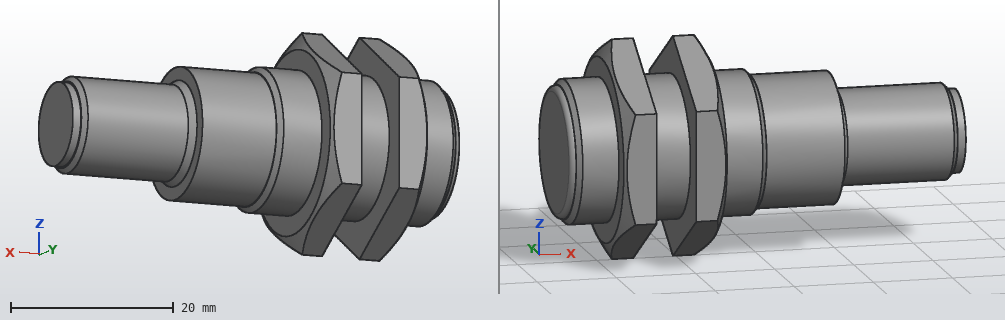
import cadquery as cq
import math

total_length = 50.8

cap_diameter = 16.5
cap_length = 0.75
cap_rounding = 0.7

barrel_diameter = 18.0
barrel_end = 24.85
barrel_chamfer = 0.65

housing_diameter = 16.5
housing_end = 34.75

neck_diameter = 12.0
flare_diameter = 13.15
flare_length = 0.9
neck_chamfer = 0.6
tip_diameter = 10.4
tip_length = 1.05

nut_across_flats = 24.0
nut_thickness = 4.0
nut_face_diameter = 23.0
nut_chamfer_angle = 30.0
front_nut_start = 6.0
nut_gap = 5.05


def turned_body():
    """Revolve the stepped half-profile about the X axis and round its front rim."""
    barrel_radius = barrel_diameter / 2
    barrel_edge_radius = barrel_radius - barrel_chamfer
    housing_radius = housing_diameter / 2
    neck_radius = neck_diameter / 2
    neck_end = total_length - tip_length
    profile = (
        cq.Workplane("XY")
        .lineTo(0, cap_diameter / 2)
        .lineTo(cap_length, cap_diameter / 2)
        .lineTo(cap_length, barrel_edge_radius)
        .lineTo(cap_length + barrel_chamfer, barrel_radius)
        .lineTo(barrel_end - barrel_chamfer, barrel_radius)
        .lineTo(barrel_end, barrel_edge_radius)
        .lineTo(barrel_end, housing_radius)
        .lineTo(housing_end, housing_radius)
        .lineTo(housing_end, flare_diameter / 2)
        .lineTo(housing_end + flare_length, neck_radius)
        .lineTo(neck_end - neck_chamfer, neck_radius)
        .lineTo(neck_end, neck_radius - neck_chamfer)
        .lineTo(neck_end, tip_diameter / 2)
        .lineTo(total_length, tip_diameter / 2)
        .lineTo(total_length, 0)
        .close()
    )
    body = profile.revolve(360, (0, 0, 0), (1, 0, 0))
    return body.faces("<X").edges().fillet(cap_rounding)


def lock_nut(flat_face_x, direction):
    """Hex nut growing from its flat face along direction (+1 or -1), far face chamfered."""
    across_corners = nut_across_flats / math.cos(math.radians(30))
    corner_radius = across_corners / 2
    face_radius = nut_face_diameter / 2
    chamfer_depth = (corner_radius - face_radius) * math.tan(math.radians(nut_chamfer_angle))
    outer_face_x = flat_face_x + direction * nut_thickness
    hexagon = (
        cq.Workplane("YZ")
        .workplane(offset=flat_face_x)
        .transformed(rotate=(0, 0, 90))
        .polygon(6, across_corners)
        .extrude(direction * nut_thickness)
    )
    chamfer_envelope = (
        cq.Workplane("XY")
        .moveTo(flat_face_x, 0)
        .lineTo(flat_face_x, corner_radius)
        .lineTo(outer_face_x - direction * chamfer_depth, corner_radius)
        .lineTo(outer_face_x, face_radius)
        .lineTo(outer_face_x, 0)
        .close()
        .revolve(360, (0, 0, 0), (1, 0, 0))
    )
    return hexagon.intersect(chamfer_envelope)


front_nut_flat = front_nut_start + nut_thickness
rear_nut_flat = front_nut_flat + nut_gap

result = (
    turned_body()
    .union(lock_nut(front_nut_flat, -1))
    .union(lock_nut(rear_nut_flat, 1))
)